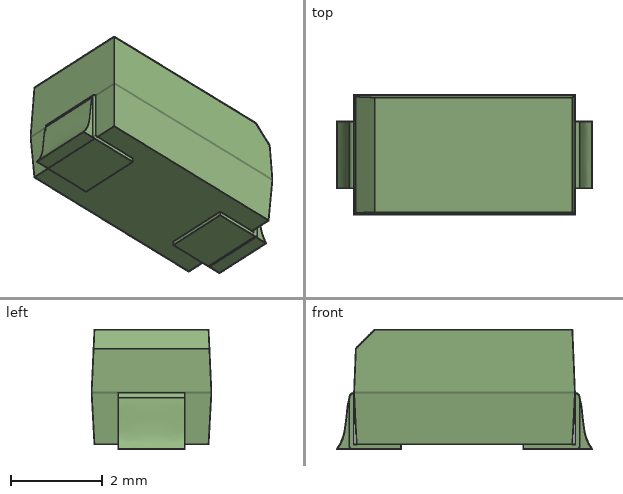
import cadquery as cq

overall_length = 5.58
overall_height = 2.61

housing_length = 4.83
housing_width = 2.62
housing_bottom = 0.1
band_bottom = 1.23
band_height = 0.02
end_inset = 0.055
side_inset = 0.06
bevel = 0.395

lead_thickness = housing_bottom
lead_width = 1.46
left_foot_end = 1.385
right_foot_end = 1.285
bottom_bend_radius = 0.065
lead_inner = housing_length / 2
lead_outer = lead_inner + lead_thickness
lead_top = band_bottom

solder_top = lead_top - lead_thickness
solder_toe = overall_length / 2
solder_middle = [(2.585, 0.685), (2.635, 0.325)]


def tapered_block(start_height, end_height):
    """Loft from the full outline to the narrowed outline."""
    return (
        cq.Workplane("XY", origin=(0, 0, start_height))
        .rect(housing_length, housing_width)
        .workplane(offset=end_height - start_height)
        .rect(housing_length - 2 * end_inset, housing_width - 2 * side_inset)
        .loft(ruled=True)
    )


def make_housing():
    """Two tapered halves joined by a thin straight band, with one bevelled top edge."""
    band_top = band_bottom + band_height
    band = (
        cq.Workplane("XY", origin=(0, 0, band_bottom))
        .rect(housing_length, housing_width)
        .extrude(band_height)
    )
    lower = tapered_block(band_bottom, housing_bottom)
    upper = tapered_block(band_top, overall_height)
    end_x = -housing_length / 2
    bevel_x = end_x + end_inset + bevel
    bevel_cut = (
        cq.Workplane("XZ", origin=(0, housing_width / 2, 0))
        .moveTo(bevel_x, overall_height)
        .lineTo(end_x, overall_height)
        .lineTo(end_x, overall_height - (bevel_x - end_x))
        .close()
        .extrude(housing_width)
    )
    return band.union(lower).union(upper).cut(bevel_cut)


def lead_wide_plane():
    """XZ plane on the +Y side of the leads; extruding by lead_width is centred on Y = 0."""
    return cq.Workplane("XZ", origin=(0, lead_width / 2, 0))


def make_lead(foot_end):
    """L-shaped lead at the +X end, rounded at the top over its full thickness and at the heel."""
    lead = (
        lead_wide_plane()
        .moveTo(foot_end, 0)
        .lineTo(lead_outer, 0)
        .lineTo(lead_outer, lead_top - lead_thickness)
        .radiusArc((lead_inner, lead_top), -lead_thickness)
        .lineTo(lead_inner, lead_thickness)
        .lineTo(foot_end, lead_thickness)
        .close()
        .extrude(lead_width)
    )
    return lead.faces(">X").edges("<Z").fillet(bottom_bend_radius)


def make_solder(lead):
    """Solder fillet at the +X end, fitted around the heel of the lead."""
    solder = (
        lead_wide_plane()
        .moveTo(lead_outer, solder_top)
        .spline(solder_middle + [(solder_toe, 0)], includeCurrent=True)
        .lineTo(lead_outer - bottom_bend_radius, 0)
        .lineTo(lead_outer - bottom_bend_radius, bottom_bend_radius)
        .lineTo(lead_outer, bottom_bend_radius)
        .close()
        .extrude(lead_width)
    )
    return solder.cut(lead)


housing = make_housing()
bodies = [housing.val()]
for foot_end, turn in ((right_foot_end, 0), (left_foot_end, 180)):
    lead = make_lead(foot_end)
    solder = make_solder(lead)
    for end_part in (lead, solder):
        bodies.append(end_part.rotate((0, 0, 0), (0, 0, 1), turn).val())

result = cq.Compound.makeCompound(bodies)